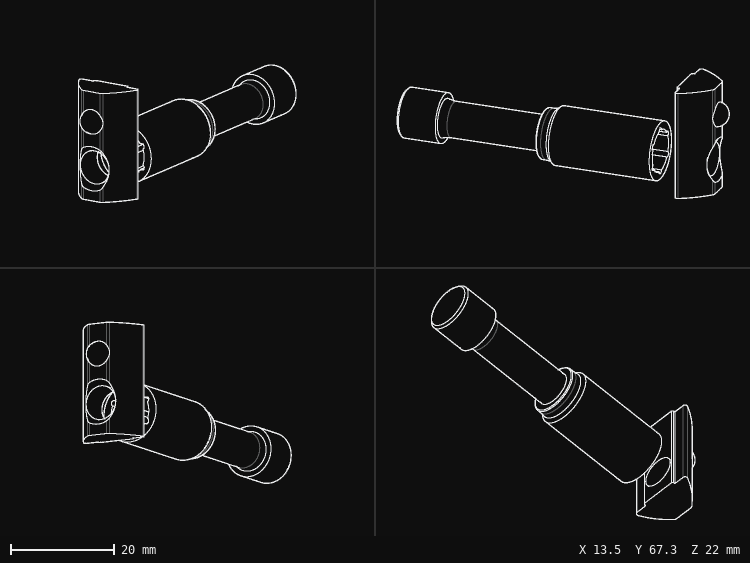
import cadquery as cq


sleeve_length = 24.0
sleeve_diameter = 11.8
body_length = 21.0
neck_start = 21.75
neck_radius = 5.25
collar_start = 22.95
collar_radius = 5.1
collar_chamfer = 0.2
bore_radius = 4.25
groove_count = 6
groove_radius = 0.55
first_groove_angle = 30
sleeve_radius = sleeve_diameter / 2

screw_end = 53.1
head_length = 8.15
head_diameter = 10.0
head_chamfer = 0.5
shank_diameter = 7.2
flare_length = 1.9
flare_radius = 3.9
head_radius = head_diameter / 2
shank_radius = shank_diameter / 2
head_start = screw_end - head_length
flare_start = head_start - flare_length
screw_tip = body_length

nut_height = 22.0
nut_center_z = 4.5
nut_back = -5.0
nut_depth = 7.1
wing_drop = 0.6
wing_corner_x = 7.05
wing_rounding = 0.55
pad_half_width = 4.0
pad_chamfer = 0.3
nose_half_width = 2.2
nose_rounding = 0.9
flank_radius = 18.2
nut_hole_diameter = 6.65
countersink_radius = 4.45
nut_hole_radius = nut_hole_diameter / 2
nut_front = nut_back - nut_depth
wing_y = nut_back - wing_drop

ball_radius = 2.5
ball_tip = -14.2
ball_z = 9.5

edge_search_margin = 0.1


def turned(half_outline):
    """Revolve an (X, Y) half outline around the Y axis."""
    return half_outline.close().revolve(360, (0, 0, 0), (0, 1, 0))


def rod(radius, start, length):
    """Cylinder along +Y from Y = start."""
    return cq.Workplane(cq.Solid.makeCylinder(radius, length, cq.Vector(0, start, 0), cq.Vector(0, 1, 0)))


def upright_edges_at(body, half_width, y):
    """The pair of vertical edges of the nut at X = +/- half_width and the given Y."""
    m = edge_search_margin
    near = cq.selectors.BoxSelector(
        (-half_width - m, y - m, nut_center_z - m),
        (half_width + m, y + m, nut_center_z + m),
    )
    return body.edges("|Z").edges(near)


def make_sleeve():
    sleeve = turned(
        cq.Workplane("XY")
        .lineTo(sleeve_radius, 0)
        .lineTo(sleeve_radius, body_length)
        .lineTo(neck_radius, neck_start)
        .lineTo(collar_radius, collar_start)
        .lineTo(collar_radius, sleeve_length - collar_chamfer)
        .lineTo(collar_radius - collar_chamfer, sleeve_length)
        .lineTo(0, sleeve_length)
    )
    sleeve = sleeve.cut(rod(shank_radius, 0, sleeve_length))
    sleeve = sleeve.cut(rod(bore_radius, 0, body_length))
    groove = rod(groove_radius, 0, body_length).translate((bore_radius, 0, 0))
    for index in range(groove_count):
        angle = first_groove_angle + index * 360 / groove_count
        sleeve = sleeve.cut(groove.rotate((0, 0, 0), (0, 1, 0), angle))
    return sleeve


def make_screw():
    flare_step = flare_radius - shank_radius
    flare_arc_radius = (flare_length**2 + flare_step**2) / (2 * flare_step)
    return turned(
        cq.Workplane("XY")
        .moveTo(0, screw_tip)
        .lineTo(shank_radius, screw_tip)
        .lineTo(shank_radius, flare_start)
        .radiusArc((flare_radius, head_start), flare_arc_radius)
        .lineTo(head_radius, head_start)
        .lineTo(head_radius, screw_end - head_chamfer)
        .lineTo(head_radius - head_chamfer, screw_end)
        .lineTo(0, screw_end)
    )


def make_nut_bar():
    bar = (
        cq.Workplane("XY")
        .workplane(offset=nut_center_z - nut_height / 2)
        .moveTo(-pad_half_width, nut_back)
        .lineTo(pad_half_width, nut_back)
        .lineTo(pad_half_width, wing_y)
        .lineTo(wing_corner_x, wing_y)
        .radiusArc((nose_half_width, nut_front), flank_radius)
        .lineTo(-nose_half_width, nut_front)
        .radiusArc((-wing_corner_x, wing_y), flank_radius)
        .lineTo(-pad_half_width, wing_y)
        .close()
        .extrude(nut_height)
    )
    bar = upright_edges_at(bar, nose_half_width, nut_front).fillet(nose_rounding)
    bar = upright_edges_at(bar, pad_half_width, nut_back).chamfer(pad_chamfer)
    return bar.edges("|Z").edges("<X or >X").fillet(wing_rounding)


def make_countersink():
    """Cone narrowing at 45 degrees from the nose face to the through hole."""
    depth = countersink_radius - nut_hole_radius
    start = cq.Vector(0, nut_front, 0)
    cone = cq.Solid.makeCone(countersink_radius, nut_hole_radius, depth, start, cq.Vector(0, 1, 0))
    return cq.Workplane(cone)


def make_ball():
    return cq.Workplane("XY").sphere(ball_radius).translate((0, ball_tip + ball_radius, ball_z))


def make_nut():
    nut = make_nut_bar()
    nut = nut.cut(rod(nut_hole_radius, nut_front, nut_depth))
    nut = nut.cut(make_countersink())
    return nut.cut(make_ball())


sleeve = make_sleeve()
screw = make_screw()
nut = make_nut()
ball = make_ball()

bodies = [sleeve, screw, nut, ball]
result = cq.Compound.makeCompound([body.solids().val() for body in bodies])